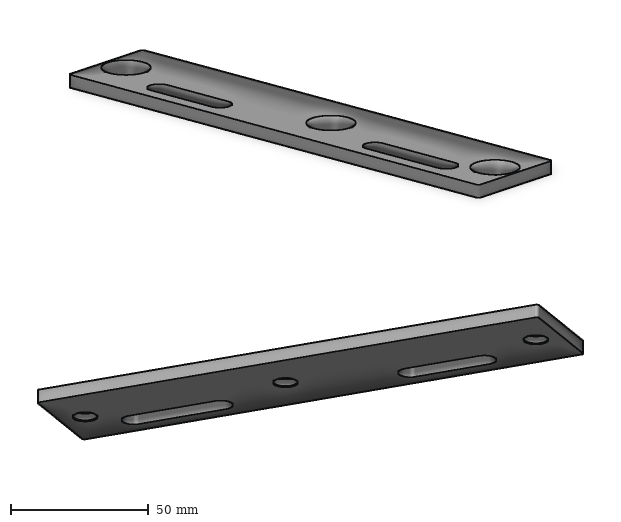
import cadquery as cq

length = 200.0
width = 40.0
thickness = 5.0
corner_radius = 1.0

hole_diameter = 9.0
countersink_diameter = 18.0
countersink_angle = 90.0
end_hole_inset = 10.0
middle_hole_x = 10.0
end_hole_x = length / 2 - end_hole_inset

slot_width = 8.8
slot_y = -10.0
slots = [(-50.0, 38.5), (57.8, 43.5)]

plate = (
    cq.Workplane("XY")
    .box(length, width, thickness, centered=(True, True, False))
    .edges("|Z")
    .fillet(corner_radius)
)

result = (
    plate.faces(">Z")
    .workplane(origin=(0, 0, thickness))
    .pushPoints([(-end_hole_x, 0), (middle_hole_x, 0), (end_hole_x, 0)])
    .cskHole(hole_diameter, countersink_diameter, countersink_angle)
)

for slot_x, slot_length in slots:
    slot = (
        cq.Workplane("XY")
        .center(slot_x, slot_y)
        .slot2D(slot_length, slot_width)
        .extrude(thickness)
    )
    result = result.cut(slot)